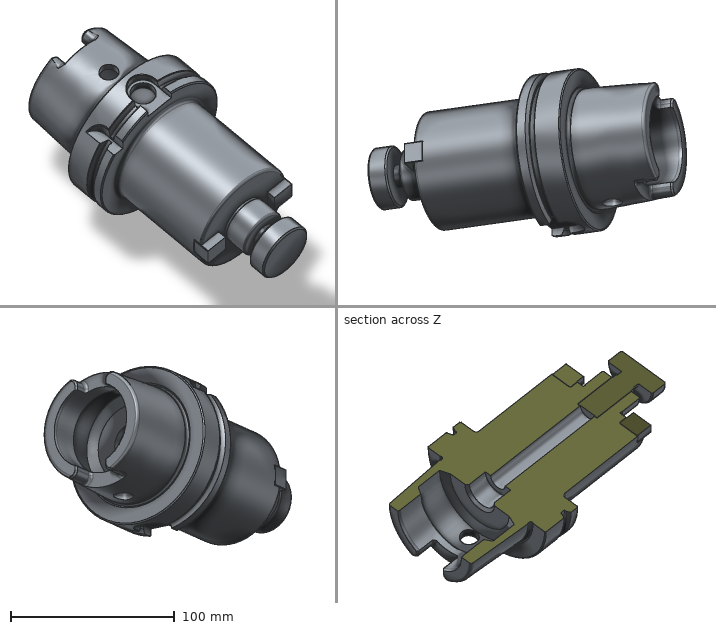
import cadquery as cq
import math


SHANK_LENGTH = 50.0
SHANK_TIP_RADIUS = 35.1
TAPER_SLOPE = 0.05
TIP_ROUND = 1.8
RELIEF_LENGTH = 2.3
RELIEF_DEPTH = 0.4
ROOT_FILLET = 1.4
ROOT_RECESS_RADIUS = 39.4
ROOT_RECESS_DEPTH = 0.4

BORE_RADIUS = 53.0 / 2
BORE_LEAD_DEPTH = 0.4
BORE_LEAD_LENGTH = 2.0
BORE_DEPTH = 20.0
CHAMBER_RADIUS = 63.0 / 2
CHAMBER_SHOULDER_ANGLE = 60.0
CHAMBER_END_X = -8.5
CHAMBER_FLOOR_RADIUS = 49.5 / 2
CHAMBER_FLOOR_CONE_LENGTH = 2.5
COOLANT_SEAT_RADIUS = 25.0 / 2
COOLANT_THREAD_RADIUS = 21.0 / 2
COOLANT_THREAD_DEPTH = 16.0
COOLANT_HOLE_RADIUS = 12.0 / 2

DRIVE_HALF_WIDTH = 10.35
DRIVE_STRAIGHT_HEIGHT = 27.0
DRIVE_FLARE_RADIUS = 4.6
DRIVE_FLARE_SWEEP = 120.0
DRIVE_TOP_DEPTH = 10.0
DRIVE_BOTTOM_DEPTH = 15.0
DRIVE_FLOOR_FILLET = 2.0
DRIVE_EDGE_CHAMFER = 1.2

CROSS_HOLE_DIAMETER = 12.0
CROSS_HOLE_X = -15.0

FLANGE_RADIUS = 50.0
FLANGE_WIDTH = 29.0
FLANGE_FACE_CHAMFER_LENGTH = 0.6
FLANGE_FACE_CHAMFER_DEPTH = 0.9
FLANGE_BACK_CHAMFER = 0.8
GROOVE_FLOOR_RADIUS = 45.7
GROOVE_FLOOR_START = 18.2
GROOVE_FLOOR_END = 21.1
GROOVE_STEP_RADIUS = 47.2
GROOVE_START = 16.4
GROOVE_CHAMFER = 0.4
GROOVE_END = 22.6

SLOT_RADIUS = 10.0
SLOT_CENTER_X = 14.6
SLOT_FLOOR_HEIGHT = 44.0
SLOT_RIM_CHAMFER = 0.5
CHIP_HOLE_DIAMETER = 16.0
CHIP_HOLE_DEPTH = 5.5
NOTCH_WALL = 31.5

BODY_RADIUS = 73.0 / 2
BODY_END = 101.6
BODY_ROOT_FILLET = 2.5
BODY_END_ROUND = 1.5
PILOT_RADIUS = 31.75 / 2
PILOT_RELIEF_RADIUS = 31.25 / 2
PILOT_RELIEF_LENGTH = 1.7
PILOT_END = 119.0
PILOT_END_ROUND = 1.2

KEY_WIDTH = 13.0
KEY_START = 95.6
KEY_END = 107.5
KEY_INNER = 21.0
KEY_OUTER = 36.0
KEY_CHAMFER = 0.4

SCREW_RADIUS = 15.88 / 2
NECK_RADIUS = 14.35 / 2
SCREW_START = 89.0
NECK_START = 121.7
HEAD_START = 126.2
HEAD_END = 138.6
HEAD_RADIUS = 38.0 / 2
HEAD_CHAMFER = 1.0


def revolve_about_x(profile):
    return profile.close().revolve(360, (0, 0, 0), (1, 0, 0))


def shank_radius(x):
    return SHANK_TIP_RADIUS + TAPER_SLOPE * (x + SHANK_LENGTH)


def arbor_blank():
    tip = -SHANK_LENGTH
    relief_radius = shank_radius(-RELIEF_LENGTH) - RELIEF_DEPTH
    diagonal = 1 - math.sqrt(0.5)
    root_x = ROOT_RECESS_DEPTH
    tip_face_radius = shank_radius(tip + TIP_ROUND) - TIP_ROUND
    return revolve_about_x(
        cq.Workplane("XY")
        .moveTo(tip, 0)
        .lineTo(tip, tip_face_radius)
        .threePointArc(
            (tip + TIP_ROUND * diagonal, tip_face_radius + TIP_ROUND * (1 - diagonal)),
            (tip + TIP_ROUND, tip_face_radius + TIP_ROUND),
        )
        .lineTo(-RELIEF_LENGTH, shank_radius(-RELIEF_LENGTH))
        .lineTo(-RELIEF_LENGTH + RELIEF_DEPTH, relief_radius)
        .lineTo(root_x - ROOT_FILLET, relief_radius)
        .threePointArc(
            (root_x - ROOT_FILLET * diagonal, relief_radius + ROOT_FILLET * diagonal),
            (root_x, relief_radius + ROOT_FILLET),
        )
        .lineTo(0, ROOT_RECESS_RADIUS)
        .lineTo(0, FLANGE_RADIUS - FLANGE_FACE_CHAMFER_DEPTH)
        .lineTo(FLANGE_FACE_CHAMFER_LENGTH, FLANGE_RADIUS)
        .lineTo(GROOVE_START, FLANGE_RADIUS)
        .lineTo(GROOVE_START + GROOVE_CHAMFER, FLANGE_RADIUS - GROOVE_CHAMFER)
        .lineTo(GROOVE_FLOOR_START, GROOVE_FLOOR_RADIUS)
        .lineTo(GROOVE_FLOOR_END, GROOVE_FLOOR_RADIUS)
        .lineTo(GROOVE_FLOOR_END, GROOVE_STEP_RADIUS)
        .lineTo(GROOVE_END, FLANGE_RADIUS)
        .lineTo(FLANGE_WIDTH - FLANGE_BACK_CHAMFER, FLANGE_RADIUS)
        .lineTo(FLANGE_WIDTH, FLANGE_RADIUS - FLANGE_BACK_CHAMFER)
        .lineTo(FLANGE_WIDTH, BODY_RADIUS + BODY_ROOT_FILLET)
        .threePointArc(
            (FLANGE_WIDTH + BODY_ROOT_FILLET * diagonal, BODY_RADIUS + BODY_ROOT_FILLET * diagonal),
            (FLANGE_WIDTH + BODY_ROOT_FILLET, BODY_RADIUS),
        )
        .lineTo(BODY_END - BODY_END_ROUND, BODY_RADIUS)
        .threePointArc(
            (BODY_END - BODY_END_ROUND * diagonal, BODY_RADIUS - BODY_END_ROUND * diagonal),
            (BODY_END, BODY_RADIUS - BODY_END_ROUND),
        )
        .lineTo(BODY_END, PILOT_RELIEF_RADIUS)
        .lineTo(BODY_END + PILOT_RELIEF_LENGTH, PILOT_RELIEF_RADIUS)
        .lineTo(BODY_END + PILOT_RELIEF_LENGTH, PILOT_RADIUS)
        .lineTo(PILOT_END - PILOT_END_ROUND, PILOT_RADIUS)
        .threePointArc(
            (PILOT_END - PILOT_END_ROUND * diagonal, PILOT_RADIUS - PILOT_END_ROUND * diagonal),
            (PILOT_END, PILOT_RADIUS - PILOT_END_ROUND),
        )
        .lineTo(PILOT_END, 0)
    )


def bore():
    """Clamping bore with its chamber, coolant tube seat, coolant hole and screw hole."""
    tip = -SHANK_LENGTH
    shoulder_x = tip + BORE_DEPTH
    shoulder_length = (CHAMBER_RADIUS - BORE_RADIUS) / math.tan(math.radians(CHAMBER_SHOULDER_ANGLE))
    floor_x = CHAMBER_END_X + CHAMBER_FLOOR_CONE_LENGTH
    seat_chamfer = COOLANT_SEAT_RADIUS - COOLANT_THREAD_RADIUS
    thread_end = floor_x + COOLANT_THREAD_DEPTH
    return revolve_about_x(
        cq.Workplane("XY")
        .moveTo(tip, 0)
        .lineTo(tip, BORE_RADIUS + BORE_LEAD_DEPTH)
        .lineTo(tip + BORE_LEAD_LENGTH, BORE_RADIUS)
        .lineTo(shoulder_x, BORE_RADIUS)
        .lineTo(shoulder_x + shoulder_length, CHAMBER_RADIUS)
        .lineTo(CHAMBER_END_X, CHAMBER_RADIUS)
        .lineTo(floor_x, CHAMBER_FLOOR_RADIUS)
        .lineTo(floor_x, COOLANT_SEAT_RADIUS)
        .lineTo(floor_x + seat_chamfer, COOLANT_THREAD_RADIUS)
        .lineTo(thread_end, COOLANT_THREAD_RADIUS)
        .lineTo(thread_end, COOLANT_HOLE_RADIUS)
        .lineTo(SCREW_START, COOLANT_HOLE_RADIUS)
        .lineTo(SCREW_START, SCREW_RADIUS)
        .lineTo(PILOT_END, SCREW_RADIUS)
        .lineTo(PILOT_END, 0)
    )


def drive_section(x, widening):
    """Cross-section of a drive slot at x, straight near the bore and arched over the tenon corners."""
    half_width = DRIVE_HALF_WIDTH + widening
    radius = DRIVE_FLARE_RADIUS - widening
    center_y = DRIVE_HALF_WIDTH + DRIVE_FLARE_RADIUS

    def arch_point(side, sweep):
        angle = math.radians(sweep)
        y = center_y - radius * math.cos(angle)
        return (side * y, DRIVE_STRAIGHT_HEIGHT + radius * math.sin(angle))

    right_end = arch_point(1, DRIVE_FLARE_SWEEP)
    left_end = arch_point(-1, DRIVE_FLARE_SWEEP)
    return (
        cq.Workplane("YZ", origin=(x, 0, 0))
        .moveTo(-half_width, 0)
        .lineTo(half_width, 0)
        .lineTo(half_width, DRIVE_STRAIGHT_HEIGHT)
        .threePointArc(arch_point(1, DRIVE_FLARE_SWEEP / 2), right_end)
        .lineTo(right_end[0], FLANGE_RADIUS)
        .lineTo(left_end[0], FLANGE_RADIUS)
        .lineTo(*left_end)
        .threePointArc(arch_point(-1, DRIVE_FLARE_SWEEP / 2), (-half_width, DRIVE_STRAIGHT_HEIGHT))
        .close()
    )


def drive_slot(depth):
    """Slot at the +Z side with a rounded floor edge and a chamfered rim."""
    tip = -SHANK_LENGTH
    slot = drive_section(tip, 0).extrude(depth)
    slot = slot.faces(">X").edges("(not >Z) and (not <Z)").fillet(DRIVE_FLOOR_FILLET)
    rim = drive_section(tip, DRIVE_EDGE_CHAMFER).extrude(DRIVE_EDGE_CHAMFER, taper=45)
    return slot.union(rim)


arbor = arbor_blank().cut(bore())
arbor = arbor.cut(drive_slot(DRIVE_TOP_DEPTH))
arbor = arbor.cut(drive_slot(DRIVE_BOTTOM_DEPTH).mirror("XY"))
arbor = arbor.cut(
    cq.Workplane("XY", origin=(CROSS_HOLE_X, 0, -FLANGE_RADIUS))
    .circle(CROSS_HOLE_DIAMETER / 2)
    .extrude(2 * FLANGE_RADIUS)
)


def flange_slot(center_y, floor_z):
    """Round-ended slot milled down to floor_z and open toward the arbor body."""
    height = FLANGE_RADIUS - floor_z
    length = FLANGE_WIDTH - SLOT_CENTER_X
    base = cq.Workplane("XY", origin=(SLOT_CENTER_X, center_y, floor_z))
    round_end = base.circle(SLOT_RADIUS).extrude(height)
    run = base.center(length / 2, 0).rect(length, 2 * SLOT_RADIUS).extrude(height)
    return round_end.union(run)


top_slot = flange_slot(0, SLOT_FLOOR_HEIGHT)
arbor = arbor.cut(top_slot).cut(top_slot.mirror("XY"))
arbor = arbor.cut(flange_slot(-NOTCH_WALL - SLOT_RADIUS, NOTCH_WALL))

round_end_zone = cq.selectors.BoxSelector(
    (0, -FLANGE_RADIUS, -FLANGE_RADIUS),
    (SLOT_CENTER_X, FLANGE_RADIUS, FLANGE_RADIUS),
)
arbor = arbor.edges(round_end_zone).edges("%BSPLINE").chamfer(SLOT_RIM_CHAMFER)

arbor = arbor.cut(
    cq.Workplane("XY", origin=(SLOT_CENTER_X, 0, SLOT_FLOOR_HEIGHT - CHIP_HOLE_DEPTH))
    .circle(CHIP_HOLE_DIAMETER / 2)
    .extrude(CHIP_HOLE_DEPTH)
)


def key_block(side, outer):
    """Block on the +Y or -Y side, from the key's inner face out to the given distance."""
    return (
        cq.Workplane("XY")
        .box(KEY_END - KEY_START, outer - KEY_INNER, KEY_WIDTH)
        .translate(((KEY_START + KEY_END) / 2, side * (KEY_INNER + outer) / 2, 0))
    )


keys = []
for side in (-1, 1):
    arbor = arbor.cut(key_block(side, FLANGE_RADIUS))
    key = key_block(side, KEY_OUTER)
    outer_face = ">Y" if side > 0 else "<Y"
    keys.append(key.faces(outer_face).edges("not >X").chamfer(KEY_CHAMFER))

screw = revolve_about_x(
    cq.Workplane("XY")
    .moveTo(SCREW_START, 0)
    .lineTo(SCREW_START, SCREW_RADIUS)
    .lineTo(NECK_START, SCREW_RADIUS)
    .lineTo(NECK_START + SCREW_RADIUS - NECK_RADIUS, NECK_RADIUS)
    .lineTo(HEAD_START, NECK_RADIUS)
    .lineTo(HEAD_START, HEAD_RADIUS - HEAD_CHAMFER)
    .lineTo(HEAD_START + HEAD_CHAMFER, HEAD_RADIUS)
    .lineTo(HEAD_END - HEAD_CHAMFER, HEAD_RADIUS)
    .lineTo(HEAD_END, HEAD_RADIUS - HEAD_CHAMFER)
    .lineTo(HEAD_END, 0)
)

result = cq.Compound.makeCompound([arbor.val(), screw.val(), *[key.val() for key in keys]])